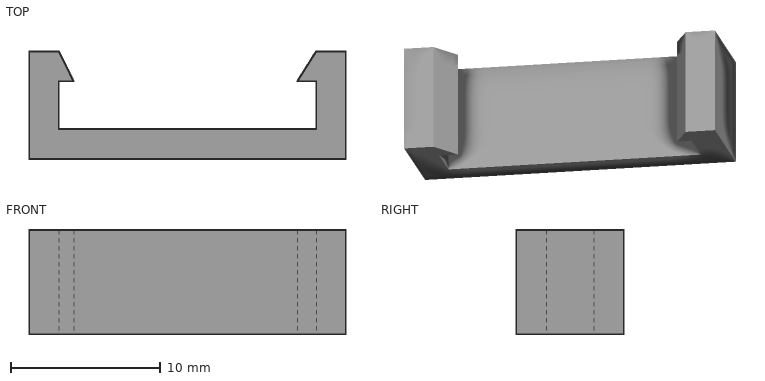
import cadquery as cq

length = 21.2
depth = 7.2
height = 7.0

arm_wall = 2.0
back_wall = 2.01
hook_depth = 2.01
left_hook_reach = 1.0
right_hook_reach = 1.27

left_inner = arm_wall
right_inner = length - arm_wall
hook_base = depth - hook_depth

outline = [
    (0, 0),
    (length, 0),
    (length, depth),
    (right_inner, depth),
    (right_inner - right_hook_reach, hook_base),
    (right_inner, hook_base),
    (right_inner, back_wall),
    (left_inner, back_wall),
    (left_inner, hook_base),
    (left_inner + left_hook_reach, hook_base),
    (left_inner, depth),
    (0, depth),
]

result = cq.Workplane("XY").polyline(outline).close().extrude(height)